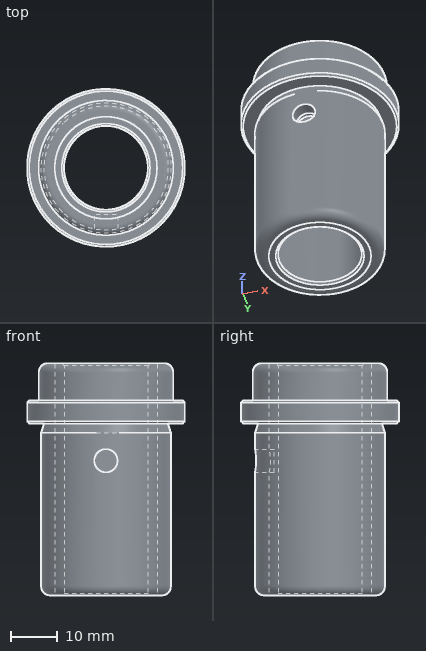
import cadquery as cq

total_height = 50.0
head_height = 8.0
flange_thickness = 5.0
neck_height = 2.0
flange_top = total_height - head_height
flange_bottom = flange_top - flange_thickness
neck_bottom = flange_bottom - neck_height

head_radius = 14.5
flange_radius = 17.0
neck_radius = 13.35
shank_radius = 14.0

liner_radius = 11.0
bore_radius = 9.0
bore_chamfer = 0.5

end_fillet = 2.0
flange_chamfer = 0.5

side_hole_radius = 2.5
side_hole_height = 29.0
side_hole_depth = 4.0


def make_housing():
    """Flanged outer sleeve with a tapered neck."""
    profile = (
        cq.Workplane("XZ")
        .moveTo(liner_radius, 0)
        .lineTo(shank_radius - end_fillet, 0)
        .radiusArc((shank_radius, end_fillet), -end_fillet)
        .lineTo(shank_radius, neck_bottom)
        .lineTo(neck_radius, flange_bottom)
        .lineTo(flange_radius - flange_chamfer, flange_bottom)
        .lineTo(flange_radius, flange_bottom + flange_chamfer)
        .lineTo(flange_radius, flange_top - flange_chamfer)
        .lineTo(flange_radius - flange_chamfer, flange_top)
        .lineTo(head_radius, flange_top)
        .lineTo(head_radius, total_height - end_fillet)
        .radiusArc((head_radius - end_fillet, total_height), -end_fillet)
        .lineTo(liner_radius, total_height)
        .close()
    )
    return profile.revolve(360, (0, 0, 0), (0, 1, 0))


def make_liner():
    """Plain inner sleeve, chamfered at both ends of its bore."""
    return (
        cq.Workplane("XY")
        .circle(liner_radius)
        .circle(bore_radius)
        .extrude(total_height)
        .edges(cq.selectors.RadiusNthSelector(0))
        .chamfer(bore_chamfer)
    )


def make_side_hole():
    """Cylinder to remove for the radial hole, from its floor out to the shank surface."""
    return (
        cq.Workplane("XZ", origin=(0, side_hole_depth - shank_radius, side_hole_height))
        .circle(side_hole_radius)
        .extrude(side_hole_depth)
    )


side_hole = make_side_hole()
housing = make_housing().cut(side_hole)
liner = make_liner().cut(side_hole)

result = cq.Compound.makeCompound([housing.val(), liner.val()])